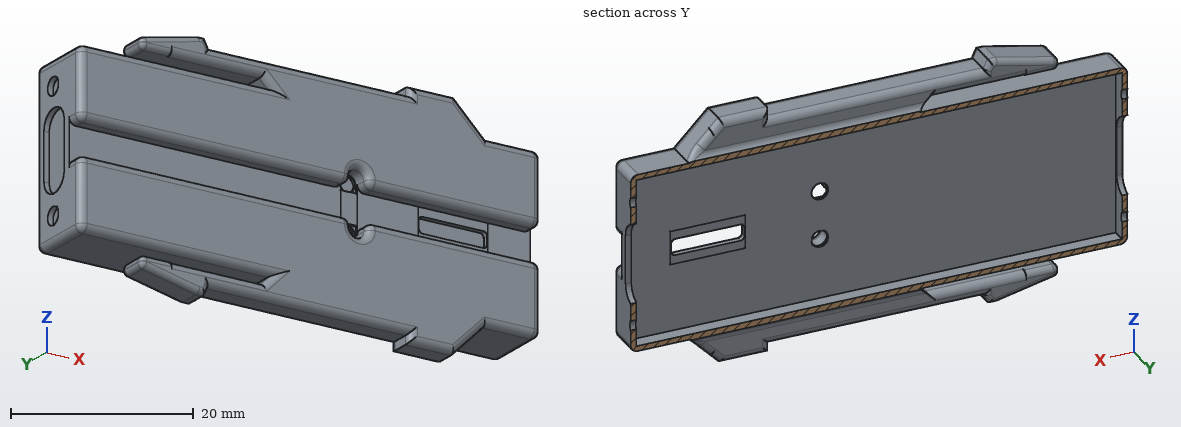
import cadquery as cq

length = 60.0
depth = 8.88
body_height = 22.0
overall_height = 30.25
edge_radius = 0.92
half_length = length / 2
half_body = body_height / 2
half_overall = overall_height / 2

arm_depth = 4.0
arm_inner_z = 12.15
arm_outer_z = 14.03
arm_start_x = -19.0
arm_radius = 0.9
root_radius = 0.9
gap_end_x = -6.1
gap_foot_x = gap_end_x + arm_inner_z - half_body
shoulder_start_x = 12.95
shoulder_end_x = 18.85
shoulder_foot_x = shoulder_end_x + half_overall - half_body
shoulder_base_z = 9.0

barb_tip_x = -22.0
barb_tip_z = 13.5
barb_crest_start_x = -14.5
barb_crest_end_x = -13.6
barb_foot_x = -13.05
barb_radius = 0.7
barb_step_x = -18.0

channel_width = 4.12
channel_depth = 2.17
half_channel = channel_width / 2

wall = 0.7
back_wall = 1.24
cavity_front = channel_depth + wall
cavity_depth = depth - back_wall - cavity_front

port_y = 5.2
port_width = 4.1
port_height = 10.06
screw_hole_y = 5.4
screw_hole_z = 7.63
screw_hole_diameter = 2.2

window_x = -7.5
window_length = 5.5
window_width = 2.17
window_back = depth - wall
window_front = window_back - window_width
lead_in_height = 0.35
slit_x = -6.48
slit_length = 0.8

tie_x = 6.4
tie_width = 2.17
tie_hole_z = 2.95
tie_hole_diameter = 2.0
tie_recess_depth = 0.35
bar_height = 3.78

plate_x = 19.93
plate_length = 9.05
slot_length = 8.85
slot_height = 2.0
slot_corner_radius = 0.5

TOLERANCE = 0.01


def near(value, target):
    return abs(value - target) < TOLERANCE


def block(size_x, size_y, size_z, x=0.0, y=0.0, z=0.0):
    """Box centred on x and z whose front face is at y."""
    return cq.Workplane("XY").box(size_x, size_y, size_z).translate((x, y + size_y / 2, z))


def front_plane():
    """Plane of the front face, with local axes X and Z; negative lengths run toward +Y."""
    return cq.Workplane("XZ")


def latch_plate(outline):
    """Plate of the latch depth cut to an X-Z outline, starting at the front face."""
    return front_plane().polyline(outline).close().extrude(-arm_depth)


def with_mirror(upper):
    """Upper latch piece together with its copy on the lower side."""
    return upper.union(upper.mirror("XY"))


def round_edges(shape, radius, wanted):
    """Fillet the edges for which wanted(bounding box, centre) is true."""
    chosen = [edge for edge in shape.edges().vals() if wanted(edge.BoundingBox(), edge.Center())]
    return shape.newObject(chosen).fillet(radius)


def make_arm():
    """Plain upper arm with the slanted end of the gap behind it and the shoulder slope."""
    slope_top_x = shoulder_end_x + half_overall - arm_outer_z
    return latch_plate([
        (arm_start_x, arm_inner_z),
        (gap_end_x, arm_inner_z),
        (gap_foot_x, half_body),
        (shoulder_foot_x, half_body),
        (slope_top_x, arm_outer_z),
        (arm_start_x, arm_outer_z),
    ])


def make_barb():
    """Upper barb wedge, rounded on both faces and at its tip; its stepped base lies inside the arm."""
    base_z = (arm_inner_z + arm_outer_z) / 2
    barb = latch_plate([
        (barb_tip_x, arm_inner_z),
        (barb_step_x, arm_inner_z),
        (barb_step_x, base_z),
        (barb_foot_x, base_z),
        (barb_foot_x, arm_outer_z),
        (barb_crest_end_x, half_overall),
        (barb_crest_start_x, half_overall),
        (barb_tip_x, barb_tip_z),
    ])

    def rounded(box, centre):
        inside_arm = near(centre.z, base_z) or near(centre.x, barb_step_x)
        return near(centre.x, barb_tip_x) or (box.ylen < TOLERANCE and not inside_arm)

    return round_edges(barb, barb_radius, rounded)


def make_shoulder():
    """Upper shoulder, rounded on both faces except along its base inside the body."""
    base_end_x = shoulder_foot_x + half_body - shoulder_base_z
    shoulder = latch_plate([
        (shoulder_start_x, shoulder_base_z),
        (base_end_x, shoulder_base_z),
        (shoulder_end_x, half_overall),
        (shoulder_start_x, half_overall),
    ])

    def rounded(box, centre):
        return box.ylen < TOLERANCE and not near(centre.z, shoulder_base_z)

    return round_edges(shoulder, edge_radius, rounded)


def make_shell():
    """Solid outer shape: body, latches and channel with every outside edge rounded."""
    shell = block(length, depth, body_height).union(with_mirror(make_arm()))
    shell = shell.cut(block(length, channel_depth, channel_width)).cut(tie_slot(channel_depth))

    def arm_root(box, centre):
        flat = near(box.ymin, arm_depth) and near(box.ymax, arm_depth)
        return flat and near(abs(centre.z), half_body)

    def outer(box, centre):
        on_arm_start = near(centre.x, arm_start_x)
        on_front = near(box.ymax, 0) and not on_arm_start
        on_back = near(box.ymin, depth)
        on_end = near(abs(centre.x), half_length) and not near(centre.y, channel_depth)
        on_tie_corner = near(abs(centre.x - tie_x), tie_width / 2) and near(abs(centre.z), half_channel)
        return on_front or on_back or on_end or on_tie_corner

    def arm_back(box, centre):
        flat = near(box.ymin, arm_depth) and near(box.ymax, arm_depth)
        outside_root = abs(centre.z) > half_body + root_radius + TOLERANCE
        on_gap_end = gap_end_x - TOLERANCE < centre.x < gap_foot_x
        return flat and outside_root and not on_gap_end and not near(centre.x, arm_start_x)

    shell = round_edges(shell, root_radius, arm_root)
    shell = round_edges(shell, edge_radius, outer)
    shell = round_edges(shell, arm_radius, arm_back)
    return shell.union(with_mirror(make_barb())).union(with_mirror(make_shoulder()))


def end_openings():
    """Oblong port and two screw holes running through both end walls."""
    side = cq.Workplane("YZ", origin=(-half_length, 0, 0))
    port = side.center(port_y, 0).slot2D(port_height, port_width, 90).extrude(length)
    screw_points = [(screw_hole_y, screw_hole_z), (screw_hole_y, -screw_hole_z)]
    return port.union(side.pushPoints(screw_points).circle(screw_hole_diameter / 2).extrude(length))


def wall_openings():
    """Top window with its lead-in slope, and the bottom slit."""
    inner_z = half_body - wall
    section = [
        (window_front, half_body),
        (window_back, half_body),
        (depth - back_wall, half_body - lead_in_height),
        (depth - back_wall, inner_z),
        (window_front, inner_z),
    ]
    start_x = window_x - window_length / 2
    window = cq.Workplane("YZ", origin=(start_x, 0, 0)).polyline(section).close().extrude(window_length)
    slit_width = depth - back_wall - window_front
    slit = block(slit_length, slit_width, wall, slit_x, window_front, wall / 2 - half_body)
    return window.union(slit)


def tie_slot(reach):
    """Round-ended cutter across the channel, reaching from the front face to the given depth."""
    overall = 2 * tie_hole_z + tie_width
    return front_plane().center(tie_x, 0).slot2D(overall, tie_width, 90).extrude(-reach)


def tie_holes():
    """Two holes from the recess into the cavity."""
    points = [(tie_x, tie_hole_z), (tie_x, -tie_hole_z)]
    return front_plane().pushPoints(points).circle(tie_hole_diameter / 2).extrude(-cavity_front)


def plate_blank():
    """Block filling the plate opening in the channel floor."""
    return block(plate_length, wall, channel_width, plate_x, channel_depth)


def make_housing():
    cavity = block(length - 2 * wall, cavity_depth, body_height - 2 * wall, 0, cavity_front)
    housing = make_shell().cut(cavity)
    tie_recess = tie_slot(channel_depth + tie_recess_depth)
    for cutter in (end_openings(), wall_openings(), tie_recess, tie_holes(), plate_blank()):
        housing = housing.cut(cutter)
    return housing


def make_tie_bar():
    """Bar lying flush with the channel floor between the two tie holes."""
    return block(tie_width, tie_recess_depth, bar_height, tie_x, channel_depth)


def make_plate():
    """Flush plate with a round-cornered slot."""
    slot = block(slot_length, wall, slot_height, plate_x, channel_depth)
    return plate_blank().cut(slot.edges("|Y").fillet(slot_corner_radius))


housing = make_housing()
tie_bar = make_tie_bar()
plate = make_plate()

result = cq.Compound.makeCompound([housing.solids().val(), tie_bar.val(), plate.solids().val()])